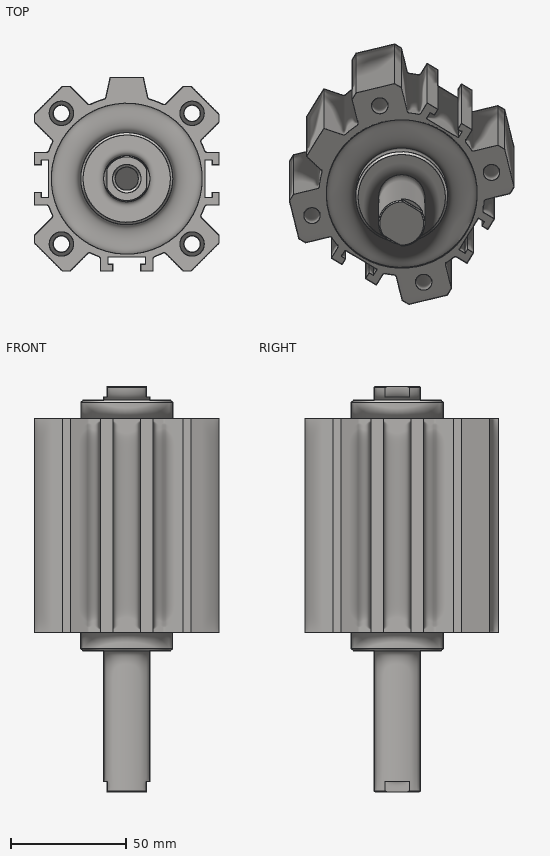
import cadquery as cq
import math

body_length = 93.0
body_width = 80.0
body_depth = 84.0
half_side = body_width / 2
shell_radius = 35.9
root_fillet = 1.0

lug_width = 22.0
lug_reach = 48.0
hole_offset = 28.3
hole_diameter = 7.0
counterbore_diameter = 10.5
counterbore_depth = 10.5

slot_angles = (0, 180, 270)
slot_rib_half_width = 11.5
slot_half_width = 8.1
slot_mouth_half_width = 6.0
slot_lip_thickness = 3.0
slot_floor = 34.0

rib_reach = body_depth - half_side
rib_tip_half_width = 7.2
rib_base_half_width = 9.5
rib_base = 33.5

recess_diameter = 65.5
recess_depth = 2.0
boss_diameter = 40.0
boss_height = 8.0
boss_chamfer = 1.0

rod_diameter = 20.0
rod_length = 176.0
rod_top_overhang = 6.0
rod_chamfer = 0.5
flat_width = 17.0
flat_length = 4.5
thread_diameter = 10.0
thread_depth = 21.1
thread_countersink = 1.15
countersink_angle = 90

rod_top = body_length + boss_height + rod_top_overhang
rod_bottom = rod_top - rod_length


def make_lugs():
    """Four diagonal lugs, trimmed to the square of the housing."""
    bars = cq.Workplane("XY")
    for angle in (45, 135):
        bar = cq.Workplane("XY").rect(2 * lug_reach, lug_width).extrude(body_length)
        bars = bars.add(bar.rotate((0, 0, 0), (0, 0, 1), angle))
    square = cq.Workplane("XY").rect(body_width, body_width).extrude(body_length)
    return bars.combine().intersect(square)


def make_slot_block(angle):
    """Solid block for one T-slot, pointing to +X before it is turned."""
    block = cq.Workplane("XY").center(half_side / 2, 0)
    block = block.rect(half_side, 2 * slot_rib_half_width).extrude(body_length)
    return block.rotate((0, 0, 0), (0, 0, 1), angle)


def make_slot_cut(angle):
    """T-shaped cutter: a wide channel behind a narrower mouth."""
    lip_inside = half_side - slot_lip_thickness
    cut = (
        cq.Workplane("XY")
        .moveTo(slot_floor, -slot_half_width)
        .lineTo(lip_inside, -slot_half_width)
        .lineTo(lip_inside, -slot_mouth_half_width)
        .lineTo(half_side, -slot_mouth_half_width)
        .lineTo(half_side, slot_mouth_half_width)
        .lineTo(lip_inside, slot_mouth_half_width)
        .lineTo(lip_inside, slot_half_width)
        .lineTo(slot_floor, slot_half_width)
        .close()
        .extrude(body_length)
    )
    return cut.rotate((0, 0, 0), (0, 0, 1), angle)


def make_tapered_rib():
    """Solid rib on the +Y side, narrowing toward its tip."""
    return (
        cq.Workplane("XY")
        .moveTo(-rib_base_half_width, 0)
        .lineTo(rib_base_half_width, 0)
        .lineTo(rib_base_half_width, rib_base)
        .lineTo(rib_tip_half_width, rib_reach)
        .lineTo(-rib_tip_half_width, rib_reach)
        .lineTo(-rib_base_half_width, rib_base)
        .close()
        .extrude(body_length)
    )


def round_roots(barrel):
    """Fillet the upright edges that lie on the barrel's round outside."""
    tolerance = 0.2
    roots = []
    for edge in barrel.edges("|Z").vals():
        centre = edge.Center()
        if abs(math.hypot(centre.x, centre.y) - shell_radius) < tolerance:
            roots.append(edge)
    return barrel.newObject(roots).fillet(root_fillet)


def make_barrel():
    """Extruded profile: round barrel, lugs, tapered rib and T-slots."""
    barrel = cq.Workplane("XY").circle(shell_radius).extrude(body_length)
    barrel = barrel.union(make_lugs()).union(make_tapered_rib())
    for angle in slot_angles:
        barrel = barrel.union(make_slot_block(angle))
    barrel = round_roots(barrel)
    for angle in slot_angles:
        barrel = barrel.cut(make_slot_cut(angle))
    return barrel


def make_boss(base_z, direction):
    """Chamfered round boss rising from a recess floor, up (1) or down (-1)."""
    plane = cq.Plane(origin=(0, 0, base_z), normal=(0, 0, direction))
    boss = cq.Workplane(plane).circle(boss_diameter / 2).extrude(boss_height + recess_depth)
    return boss.faces(">Z" if direction > 0 else "<Z").chamfer(boss_chamfer)


def make_housing():
    """Cylinder housing with its end heads, bored for the rod."""
    housing = make_barrel()

    for recess_base in (0, body_length - recess_depth):
        recess = cq.Workplane("XY", origin=(0, 0, recess_base))
        housing = housing.cut(recess.circle(recess_diameter / 2).extrude(recess_depth))
    housing = housing.union(make_boss(body_length - recess_depth, 1))
    housing = housing.union(make_boss(recess_depth, -1))

    holes = (
        cq.Workplane("XY", origin=(0, 0, body_length))
        .rect(2 * hole_offset, 2 * hole_offset, forConstruction=True)
        .vertices()
    )
    housing = housing.cut(holes.circle(hole_diameter / 2).extrude(-body_length))
    housing = housing.cut(holes.circle(counterbore_diameter / 2).extrude(-counterbore_depth))

    bore = cq.Workplane("XY", origin=(0, 0, rod_bottom)).circle(rod_diameter / 2).extrude(rod_length)
    return housing.cut(bore)


def make_rod():
    """Through rod with wrench flats at both ends and a threaded upper end."""
    rod = cq.Workplane("XY", origin=(0, 0, rod_bottom)).circle(rod_diameter / 2).extrude(rod_length)
    rod = rod.faces("<Z or >Z").chamfer(rod_chamfer)

    for flat_base in (rod_bottom, rod_top - flat_length):
        end = cq.Workplane("XY", origin=(0, 0, flat_base))
        outside = end.rect(2 * rod_diameter, 2 * rod_diameter).rect(flat_width, 2 * rod_diameter)
        rod = rod.cut(outside.extrude(flat_length))

    mouth_diameter = thread_diameter + 2 * thread_countersink
    mouth = rod.faces(">Z").workplane(origin=(0, 0, 0))
    return mouth.cskHole(thread_diameter, mouth_diameter, countersink_angle, thread_depth)


housing = make_housing()
rod = make_rod()
result = cq.Compound.makeCompound([housing.val(), rod.val()])